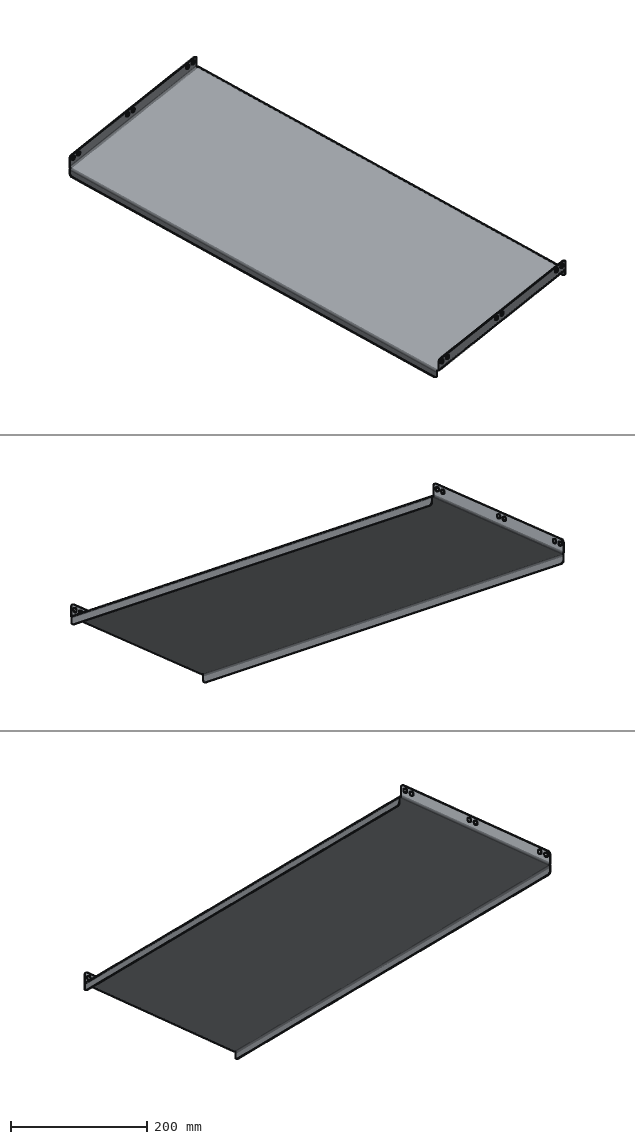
import cadquery as cq

length = 706.0
width = 296.0
height = 35.5

thickness = 1.5
inner_radius = 1.0
outer_radius = inner_radius + thickness

end_flange_height = 22.0
side_flange_height = height - end_flange_height + thickness
flange_corner_radius = 5.0

hole_diameter = 7.2
hole_depth_below_rim = 8.0
outer_hole_y = 137.5
hole_pitch = 12.5
inner_hole_y = outer_hole_y - hole_pitch
hole_y_positions = [outer_hole_y, inner_hole_y, 0, -hole_pitch, -inner_hole_y, -outer_hole_y]

floor_length = length - 2 * outer_radius
floor_width = width - 2 * outer_radius


def make_floor():
    """Flat sheet between the four bend lines."""
    return cq.Workplane("XY").box(floor_length, floor_width, thickness, centered=(True, True, False))


def make_flange(flange_height, flange_length):
    """Upright flange with its bend: outer face at X = 0, bend line at X = -outer_radius."""
    bend = (
        cq.Workplane("XZ")
        .moveTo(-outer_radius, 0)
        .radiusArc((0, outer_radius), -outer_radius)
        .lineTo(-thickness, outer_radius)
        .radiusArc((-outer_radius, thickness), inner_radius)
        .close()
        .extrude(flange_length / 2, both=True)
    )
    upright = (
        cq.Workplane("XY", origin=(-thickness / 2, 0, outer_radius))
        .box(thickness, flange_length, flange_height - outer_radius, centered=(True, True, False))
        .edges("|X and >Z")
        .fillet(flange_corner_radius)
    )
    return bend.union(upright)


def make_end_flange():
    """Upward flange on the +X end."""
    flange = make_flange(end_flange_height, floor_width)
    return flange.translate((length / 2, 0, 0))


def make_side_flange():
    """Downward flange on the +Y side."""
    flange = make_flange(side_flange_height, floor_length)
    flange = flange.rotate((0, 0, 0), (1, 0, 0), 180)
    flange = flange.rotate((0, 0, 0), (0, 0, 1), 90)
    return flange.translate((0, width / 2, thickness))


def make_holes():
    """Round bars along X that pass through both end flanges."""
    hole_z = end_flange_height - hole_depth_below_rim
    return (
        cq.Workplane("YZ")
        .pushPoints([(y, hole_z) for y in hole_y_positions])
        .circle(hole_diameter / 2)
        .extrude(length, both=True)
    )


result = make_floor()
for flange, mirror_plane in ((make_end_flange(), "YZ"), (make_side_flange(), "XZ")):
    result = result.union(flange).union(flange.mirror(mirror_plane))
result = result.cut(make_holes())